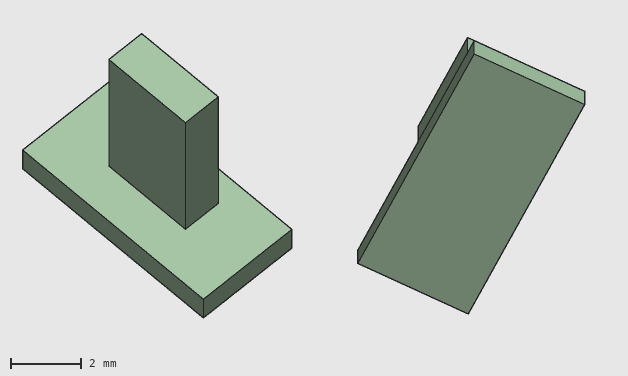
import cadquery as cq

plate_length = 7.31
plate_width = 3.5
plate_thickness = 0.9

total_height = 6.0
post_length = 3.1
post_width = 1.3
post_offset_y = 0.25
post_height = total_height - plate_thickness


def make_plate():
    return cq.Workplane("XY").box(
        plate_length, plate_width, plate_thickness, centered=(True, True, False)
    )


def make_post():
    return (
        cq.Workplane("XY", origin=(0, post_offset_y, plate_thickness))
        .box(post_length, post_width, post_height, centered=(True, True, False))
    )


result = make_plate().union(make_post())